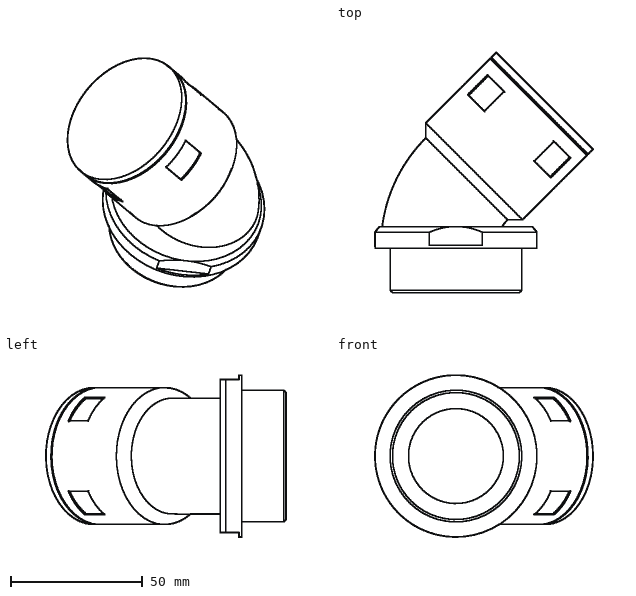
import cadquery as cq
import math

spigot_diameter = 50.0
spigot_length = 16.8
spigot_chamfer = 0.9
bore_diameter = 36.0
bore_depth = 5.0
flange_diameter = 61.5
flange_top = 25.1
flange_chamfer_height = 2.1
flange_chamfer_width = 1.6
flat_spacing = 58.1
rim_top = 18.0

bend_angle = 45
axis_crossing = 39.1
neck_diameter = 44.0
socket_diameter = 52.0
neck_offset = 5.7
socket_end = 47.6
end_ring_length = 2.7
groove_width = 0.55
groove_diameter = 46.0

bend_radius = 36.1

window_start = 28.6
window_end = 39.2
window_width = 12.6
window_depth = 0.6
window_count = 4
first_window_angle = 45

axis_cos = math.cos(math.radians(bend_angle))
axis_sin = math.sin(math.radians(bend_angle))


def cylinder_along_y(diameter, start, end):
    """Round bar on the spigot axis."""
    plane = cq.Plane(origin=(0, start, 0), xDir=(1, 0, 0), normal=(0, 1, 0))
    return cq.Workplane(plane).circle(diameter / 2).extrude(end - start)


def socket_plane(distance):
    """Plane square to the socket axis, with its local x along Z."""
    origin = (distance * axis_sin, axis_crossing + distance * axis_cos, 0)
    return cq.Plane(origin=origin, xDir=(0, 0, 1), normal=(axis_sin, axis_cos, 0))


def cylinder_along_socket(diameter, start, end):
    """Round bar on the socket axis."""
    return cq.Workplane(socket_plane(start)).circle(diameter / 2).extrude(end - start)


def make_spigot():
    spigot = cylinder_along_y(spigot_diameter, 0, spigot_length)
    spigot = spigot.faces("<Y").chamfer(spigot_chamfer)
    return spigot.cut(cylinder_along_y(bore_diameter, 0, bore_depth))


def make_flange():
    flange = cylinder_along_y(flange_diameter, spigot_length, flange_top)
    flange = flange.faces(">Y").edges().chamfer(flange_chamfer_height, flange_chamfer_width)
    between_flats = cq.Workplane("XY").box(flange_diameter, flange_top - rim_top, flat_spacing)
    between_flats = between_flats.translate((0, (flange_top + rim_top) / 2, 0))
    rim = cylinder_along_y(flange_diameter, spigot_length, rim_top)
    return flange.intersect(between_flats.union(rim))


def make_neck():
    """Torus segment running from the socket back into the flange."""
    center_x = neck_offset * axis_sin + bend_radius * axis_cos
    center_y = axis_crossing + neck_offset * axis_cos - bend_radius * axis_sin
    start = cq.Plane(origin=(center_x - bend_radius, center_y, 0), xDir=(1, 0, 0), normal=(0, 1, 0))
    section = cq.Workplane(start).circle(neck_diameter / 2)
    return section.revolve(bend_angle, (bend_radius, 0, 0), (bend_radius, 1, 0))


def make_socket():
    cone_length = (socket_diameter - neck_diameter) / 2
    socket = cylinder_along_socket(socket_diameter, neck_offset, socket_end)
    socket = socket.faces(cq.selectors.DirectionMinMaxSelector(cq.Vector(axis_sin, axis_cos, 0), False))
    socket = socket.chamfer(cone_length)
    groove_end = socket_end - end_ring_length
    groove_start = groove_end - groove_width
    groove = cylinder_along_socket(socket_diameter, groove_start, groove_end)
    groove = groove.cut(cylinder_along_socket(groove_diameter, groove_start, groove_end))
    return socket.cut(groove)


def make_windows():
    """Cutters for the windows, each with a floor concentric with the socket."""
    radius = socket_diameter / 2
    blocks = (
        cq.Workplane(socket_plane(window_start))
        .polarArray(radius, first_window_angle, 360, window_count)
        .rect(radius, window_width)
        .extrude(window_end - window_start)
    )
    floor_diameter = socket_diameter - 2 * window_depth
    return blocks.cut(cylinder_along_socket(floor_diameter, window_start, window_end))


socket = make_socket().cut(make_windows())
result = make_spigot().union(make_flange()).union(make_neck()).union(socket)